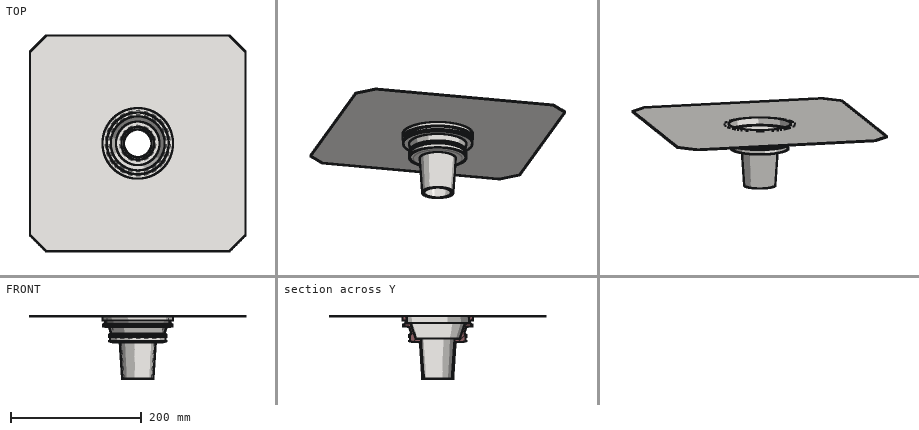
import cadquery as cq

plate_size = 330.0
plate_thickness = 1.3
corner_cut = 25.0

total_depth = 96.3

rim_dia = 108.0
groove_dia = 100.0
lip_dia = 106.0
neck_top_dia = 88.0
neck_bottom_dia = 82.0
ring_dia = 88.0
ring_groove_dia = 85.0
base_dia = 75.0
spigot_top_dia = 55.4
spigot_end_dia = 48.0

rim_depth = 7.2
groove_depth = 11.4
lip_top_depth = 13.6
lip_bottom_depth = 16.3
neck_top_depth = 17.2
neck_bottom_depth = 26.6
ring_top_depth = 29.3
ring_bottom_depth = 32.0
base_ring_depth = 38.8
base_depth = 40.6

mouth_dia = 95.0
seat_outer_dia = 94.0
seat_inner_dia = 82.5
cup_floor_dia = 66.6
spigot_bore_top_dia = 50.5
spigot_bore_end_dia = 42.0
seat_depth = 11.2
cup_floor_depth = 35.0


def revolve_profile(stations):
    """Revolve a solid about Z whose outline passes through (diameter, depth) stations."""
    first_depth = stations[0][1]
    last_depth = stations[-1][1]
    outline = [(0, -first_depth)]
    outline += [(dia / 2, -depth) for dia, depth in stations]
    outline += [(0, -last_depth)]
    return cq.Workplane("XZ").polyline(outline).close().revolve(360, (0, 0), (0, 1))


def make_plate():
    """Thin square plate with its four corners cut at 45 degrees."""
    plate = cq.Workplane("XY").rect(plate_size, plate_size).extrude(-plate_thickness)
    return plate.edges("|Z").chamfer(corner_cut)


def make_body():
    """Stepped round drain body ending in a tapered spigot."""
    return revolve_profile([
        (rim_dia, 0),
        (rim_dia, rim_depth),
        (groove_dia, rim_depth),
        (groove_dia, groove_depth),
        (lip_dia, lip_top_depth),
        (lip_dia, lip_bottom_depth),
        (neck_top_dia, neck_top_depth),
        (neck_bottom_dia, neck_bottom_depth),
        (ring_dia, ring_top_depth),
        (ring_dia, ring_bottom_depth),
        (ring_groove_dia, ring_bottom_depth),
        (ring_groove_dia, base_ring_depth),
        (ring_dia, base_ring_depth),
        (base_dia, base_depth),
        (spigot_top_dia, base_depth),
        (spigot_end_dia, total_depth),
    ])


def make_bore():
    """Open inside of the drain: mouth, flat seat, tapered cup and spigot bore."""
    return revolve_profile([
        (mouth_dia, 0),
        (seat_outer_dia, seat_depth),
        (seat_inner_dia, seat_depth),
        (cup_floor_dia, cup_floor_depth),
        (spigot_bore_top_dia, cup_floor_depth),
        (spigot_bore_end_dia, total_depth),
    ])


result = make_plate().union(make_body()).cut(make_bore())